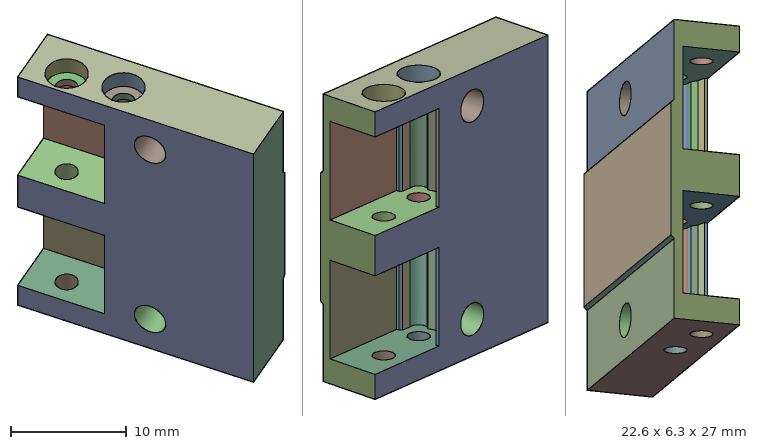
import cadquery as cq
import math

width = 22.6
body_depth = 6.0
total_depth = 6.3
height = 27.0
mid_height = height / 2

band_base_height = 12.58
band_rise = total_depth - body_depth
band_top_height = band_base_height - 2 * band_rise

pocket_width = 8.32
pocket_depth = 5.18
pocket_height = 9.25
end_wall = 2.35
pocket_bottoms = (end_wall, height - end_wall - pocket_height)

lip_depth = 0.3
lobe_radius = 0.8
lobe_center_x = 10.1
rear_lobe_y = 3.9
front_lobe_y = 1.95
front_lobe_start_angle = 28.0
front_lobe_end_angle = -90.0
front_lobe_mid_angle = (front_lobe_start_angle + front_lobe_end_angle) / 2
rear_land_x = 8.7
rear_land_y = 4.9
rear_chamfer = 0.22
rear_land_front_y = rear_land_y - rear_chamfer
rear_land_end_x = 9.7
rear_lobe_start_angle = 110.0
rear_lobe_end_angle = -20.0
rear_lobe_mid_angle = (rear_lobe_start_angle + rear_lobe_end_angle) / 2
rear_lobe_exit = (10.58, 3.25)
ridge_y = 2.65
ridge_x = 10.72
front_step = (9.67, 1.03)
front_ramp = (9.13, 0.6)

pin_diameter = 2.0
counterbore_diameter = 3.73
counterbore_depth = 1.62
pin_positions = ((3.65, 2.21), (8.83, 2.75))

mount_diameter = 3.0
mount_x = 12.7
mount_spacing = 20.03


def lobe_point(center_y, angle):
    """Point on a lobe arc; the angle is in degrees from +X toward +Y."""
    radians = math.radians(angle)
    return (
        lobe_center_x + lobe_radius * math.cos(radians),
        center_y + lobe_radius * math.sin(radians),
    )


def make_body():
    body = cq.Workplane("XY").box(width, body_depth, height, centered=False)
    band = (
        cq.Workplane("YZ")
        .moveTo(body_depth, mid_height - band_base_height / 2)
        .lineTo(total_depth, mid_height - band_top_height / 2)
        .lineTo(total_depth, mid_height + band_top_height / 2)
        .lineTo(body_depth, mid_height + band_base_height / 2)
        .close()
        .extrude(width)
    )
    return body.union(band)


def make_pocket(bottom):
    return (
        cq.Workplane("XY", origin=(0, 0, bottom))
        .lineTo(0, pocket_depth)
        .lineTo(rear_land_x, pocket_depth)
        .lineTo(rear_land_x, rear_land_y)
        .lineTo(rear_land_x + rear_chamfer, rear_land_front_y)
        .lineTo(rear_land_end_x, rear_land_front_y)
        .lineTo(*lobe_point(rear_lobe_y, rear_lobe_start_angle))
        .threePointArc(
            lobe_point(rear_lobe_y, rear_lobe_mid_angle),
            lobe_point(rear_lobe_y, rear_lobe_end_angle),
        )
        .lineTo(*rear_lobe_exit)
        .lineTo(ridge_x, ridge_y)
        .lineTo(*lobe_point(front_lobe_y, front_lobe_start_angle))
        .threePointArc(
            lobe_point(front_lobe_y, front_lobe_mid_angle),
            lobe_point(front_lobe_y, front_lobe_end_angle),
        )
        .lineTo(*front_step)
        .lineTo(*front_ramp)
        .lineTo(pocket_width, lip_depth)
        .lineTo(pocket_width, 0)
        .close()
        .extrude(pocket_height)
    )


def make_pin_holes():
    holes = cq.Workplane("XY").pushPoints(pin_positions).circle(pin_diameter / 2).extrude(height)
    counterbores = (
        cq.Workplane("XY", origin=(0, 0, height - counterbore_depth))
        .pushPoints(pin_positions)
        .circle(counterbore_diameter / 2)
        .extrude(counterbore_depth)
    )
    return holes.union(counterbores)


def make_mount_holes():
    return (
        cq.Workplane("XZ", origin=(mount_x, 0, mid_height))
        .pushPoints([(0, -mount_spacing / 2), (0, mount_spacing / 2)])
        .circle(mount_diameter / 2)
        .extrude(-total_depth)
    )


result = make_body()
for pocket_bottom in pocket_bottoms:
    result = result.cut(make_pocket(pocket_bottom))
result = result.cut(make_pin_holes()).cut(make_mount_holes())